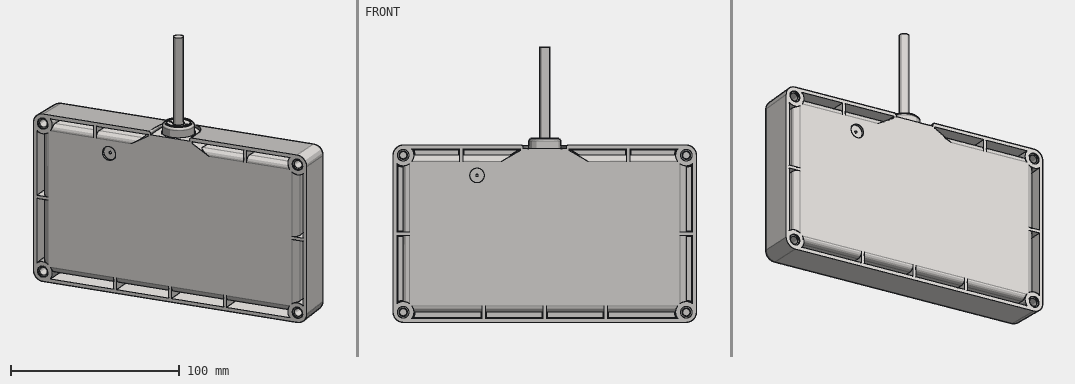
import cadquery as cq
import math

length = 180.1
height = 105.4
depth = 25.8
corner_radius = 6.3
side_draft = 1.3
back_edge_radius = 2.9
half_length = length / 2
half_height = height / 2

outer_wall = 2.3
pocket_width = 7.4
pocket_depth = 19.8
pocket_draft = 2.0
inner_lip_radius = 3.6
rib_width = 2.0
bottom_rib_offset = 36.2
top_rib_offset = 49.5
boss_radius = 6.3
inner_rim = outer_wall + pocket_width
outline_reach = inner_rim + 1.8

slant_near_x = 14.4
slant_far_x = 25.5
slant_step = 0.9

screw_inset = 6.1
screw_recess_radius = 3.5
screw_recess_depth = 1.0
screw_hole_radius = 2.5
screw_hole_depth = 14.4
screw_hole_draft = 1.5

port_x = -40.2
port_z = 34.5
port_radius = 4.3
port_recess = 1.6
vent_radius = 0.7
vent_depth = 3.6

entry_y = 11.5
pad_half_width = 12.8
pad_recess = 2.2
pad_edge_radius = 1.5
pad_z = half_height - pad_recess

gland_radius = 9.5
gland_height = 6.3
gland_seat = 5.4
gland_clearance = 0.5
gland_edge_radius = 1.5
lip_inner_radius = 7.0
lip_height = 0.5
cable_diameter = 6.0
overall_height = 163.4
cable_top_z = overall_height - half_height
cable_gap_radius = 3.6
cable_gap_depth = 1.8
dimple_radius = 0.63
dimple_circle_radius = 5.2
dimple_depth = 0.9
dimple_count = 4
lip_outer_radius = gland_radius - gland_edge_radius
gland_top_z = pad_z + gland_height
gland_face_z = gland_top_z - lip_height
gland_bottom_z = pad_z - gland_seat


def block():
    """Drafted box with round corners and a rounded back edge."""
    box = cq.Workplane("XZ").rect(length, height).extrude(-depth, taper=side_draft)
    box = box.edges("not(|X or |Z)").fillet(corner_radius)
    return box.faces(">Y").edges().fillet(back_edge_radius)


def entry_pad():
    """Arch-shaped volume above the pad, flared by the rounding of its upper edge."""
    slab = cq.Workplane("XY", origin=(0, depth / 2, pad_z)).rect(length, 2 * depth).extrude(pad_recess)
    arch = (
        cq.Workplane("XY", origin=(0, 0, pad_z))
        .moveTo(-pad_half_width, -depth / 2)
        .lineTo(-pad_half_width, entry_y)
        .threePointArc((0, entry_y + pad_half_width), (pad_half_width, entry_y))
        .lineTo(pad_half_width, -depth / 2)
        .close()
        .extrude(pad_recess)
    )
    arch_centre = (0, entry_y, half_height)
    frame = slab.cut(arch)
    rim = frame.faces(">Z").edges(cq.selectors.NearestToPointSelector(arch_centre))
    frame = rim.fillet(pad_edge_radius)
    return slab.cut(frame)


def pocket(outline, side_distance, angle):
    """Pocket along the lower side with the given outline, turned about Y onto its own side.

    Outline points are (position along the side, distance in from the outer face).
    """
    drafted = (
        cq.Workplane("XZ", origin=(0, 0, -side_distance))
        .polyline(outline)
        .close()
        .extrude(-pocket_depth, taper=pocket_draft)
    )
    lip_foot = inner_rim - inner_lip_radius
    diagonal = inner_lip_radius * math.sqrt(0.5)
    lip_middle = (inner_lip_radius - diagonal, inner_rim - diagonal)
    section = (
        cq.Workplane("YZ", origin=(-length, 0, -side_distance))
        .moveTo(0, 0)
        .lineTo(0, inner_rim)
        .threePointArc(lip_middle, (inner_lip_radius, lip_foot))
        .lineTo(pocket_depth, lip_foot)
        .lineTo(pocket_depth, 0)
        .close()
        .extrude(2 * length)
    )
    return drafted.intersect(section).rotate((0, 0, 0), (0, 1, 0), angle)


def straight_outline(start, end):
    """Rectangular pocket outline between two positions along a side."""
    return [(start, outer_wall), (end, outer_wall), (end, outline_reach), (start, outline_reach)]


def slanted_outline(start, direction):
    """Outline from a rib to the cable entry, narrowing along a slanted wall."""
    slant_top = outer_wall + slant_step
    slope = (slant_far_x - slant_near_x) / (inner_rim - slant_top)
    deep_x = slant_far_x + slope * (outline_reach - inner_rim)
    points = [
        (start, outer_wall),
        (slant_near_x, outer_wall),
        (slant_near_x, slant_top),
        (deep_x, outline_reach),
        (start, outline_reach),
    ]
    return [(direction * x, inset) for x, inset in points]


def rim_pockets():
    """All the pockets: four along the bottom, two on each end and four along the top."""
    half_rib = rib_width / 2
    x_end = half_length - screw_inset
    z_end = half_height - screw_inset
    pockets = []

    bottom_ribs = [-bottom_rib_offset, 0, bottom_rib_offset]
    starts = [-x_end] + [x + half_rib for x in bottom_ribs]
    ends = [x - half_rib for x in bottom_ribs] + [x_end]
    for start, end in zip(starts, ends):
        pockets.append(pocket(straight_outline(start, end), half_height, 0))

    for angle in (90, -90):
        for start, end in ((-z_end, -half_rib), (half_rib, z_end)):
            pockets.append(pocket(straight_outline(start, end), half_length, angle))

    for direction in (-1, 1):
        rib_outside = direction * (top_rib_offset + half_rib)
        corner_outline = straight_outline(rib_outside, direction * x_end)
        entry_outline = slanted_outline(top_rib_offset - half_rib, direction)
        pockets.append(pocket(corner_outline, half_height, 180))
        pockets.append(pocket(entry_outline, half_height, 180))
    return pockets


def at_corners():
    """Workplane on the open face with a point at each screw."""
    span_x = length - 2 * screw_inset
    span_z = height - 2 * screw_inset
    return cq.Workplane("XZ").rect(span_x, span_z, forConstruction=True).vertices()


def make_housing():
    """Housing with its rim pockets, screw holes, filling port and gland seat."""
    bosses = at_corners().circle(boss_radius).extrude(-pocket_depth, taper=-pocket_draft)
    housing = block().cut(entry_pad())
    for hollow in rim_pockets():
        housing = housing.cut(hollow.cut(bosses))

    screw_recesses = at_corners().circle(screw_recess_radius).extrude(-screw_recess_depth)
    screw_holes = at_corners().circle(screw_hole_radius).extrude(-screw_hole_depth, taper=screw_hole_draft)
    housing = housing.cut(screw_recesses).cut(screw_holes)

    port = cq.Workplane("XZ").center(port_x, port_z)
    housing = housing.cut(port.circle(port_radius).extrude(-port_recess))
    housing = housing.cut(port.circle(vent_radius).extrude(-port_recess - vent_depth))

    seat = (
        cq.Workplane("XY", origin=(0, entry_y, gland_bottom_z))
        .circle(gland_radius + gland_clearance)
        .extrude(2 * gland_seat)
    )
    return housing.cut(seat)


def make_cable_gland():
    """Round gland with a raised lip, and the cable standing in it as one piece."""

    def disc(radius, bottom_z, top_z):
        return cq.Workplane("XY", origin=(0, entry_y, bottom_z)).circle(radius).extrude(top_z - bottom_z)

    gland = disc(gland_radius, gland_bottom_z, gland_face_z).faces(">Z").edges().fillet(gland_edge_radius)
    lip = disc(lip_outer_radius, gland_face_z, gland_top_z)
    lip = lip.cut(disc(lip_inner_radius, gland_face_z, gland_top_z))
    gland = gland.union(lip)
    gland = gland.cut(disc(cable_gap_radius, gland_face_z - cable_gap_depth, gland_top_z))
    dimples = (
        cq.Workplane("XY", origin=(0, entry_y, gland_face_z))
        .polarArray(dimple_circle_radius, 0, 360, dimple_count)
        .circle(dimple_radius)
        .extrude(-dimple_depth)
    )
    gland = gland.cut(dimples)
    return gland.union(disc(cable_diameter / 2, gland_face_z - cable_gap_depth, cable_top_z))


housing = make_housing()
cable_gland = make_cable_gland()
result = cq.Compound.makeCompound([housing.solids().val(), cable_gland.solids().val()])